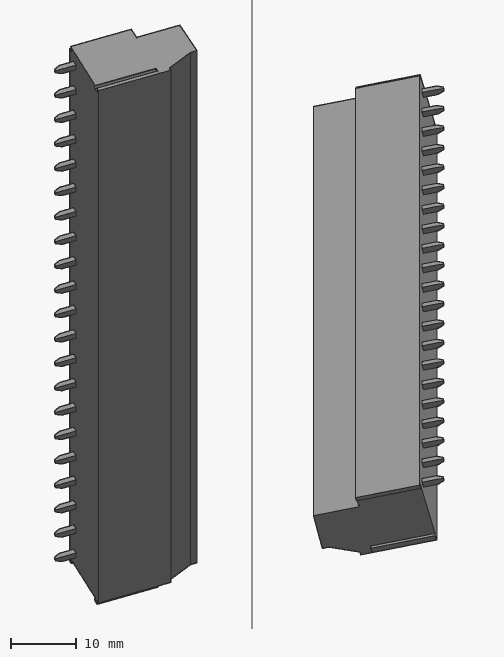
import cadquery as cq

total_height = 105.6
interlock_depth = 0.7
body_height = total_height - interlock_depth
pole_count = 21
pole_pitch = body_height / pole_count

body_width = 11.2
body_depth = 17.3
step_width = 2.3
step_depth = 10.0
tower_right = 8.7
shoulder_right = 10.7
shoulder_depth = 11.9
slope_start_depth = 16.3
back_slant = 0.16

key_center = 10.2
lock_root = 0.3
lock_waist = 0.6
lock_waist_depth = 0.4
key_tip = 0.4

pin_x = 2.0
pin_size = 1.0
pin_length = 3.3
pin_tip_length = 1.0
pin_tip_size = 0.4
pin_embed = 0.5


def make_housing():
    """Stepped terminal block profile extruded along the row of poles."""
    profile = [
        (0, 0),
        (body_width, 0),
        (body_width, shoulder_depth),
        (shoulder_right, shoulder_depth),
        (tower_right, slope_start_depth),
        (tower_right, body_depth),
        (step_width, body_depth - back_slant),
        (step_width, step_depth),
        (0, step_depth),
    ]
    return cq.Workplane("XY").polyline(profile).close().extrude(body_height)


def make_interlock():
    """Half-dovetail edge tongue and barbed key hanging below Z = 0."""
    edge_tongue = [
        (0, 0),
        (lock_root, 0),
        (lock_waist, -lock_waist_depth),
        (lock_waist, -interlock_depth),
        (0, -interlock_depth),
    ]
    key = [
        (key_center - lock_root, 0),
        (key_center + lock_root, 0),
        (key_center + lock_waist, -lock_waist_depth),
        (key_center + key_tip, -interlock_depth),
        (key_center - key_tip, -interlock_depth),
        (key_center - lock_waist, -lock_waist_depth),
    ]
    outlines = cq.Workplane("XZ").polyline(edge_tongue).close().polyline(key).close()
    return outlines.extrude(-step_depth)


def make_pin():
    """Square solder pin along -Y with a tapered tip, rooted inside the housing."""
    shank_length = pin_embed + pin_length - pin_tip_length
    shank = (
        cq.Workplane("XZ", origin=(pin_x, pin_embed, 0))
        .rect(pin_size, pin_size)
        .extrude(shank_length)
    )
    return (
        shank.faces("<Y")
        .workplane(centerOption="CenterOfMass")
        .rect(pin_size, pin_size)
        .workplane(offset=pin_tip_length)
        .rect(pin_tip_size, pin_tip_size)
        .loft()
    )


interlock = make_interlock()
grooves = interlock.translate((0, 0, body_height))
result = make_housing().union(interlock).cut(grooves)

first_pin_z = pole_pitch / 2
pin = make_pin()
for pole in range(pole_count):
    result = result.union(pin.translate((0, 0, first_pin_z + pole * pole_pitch)))